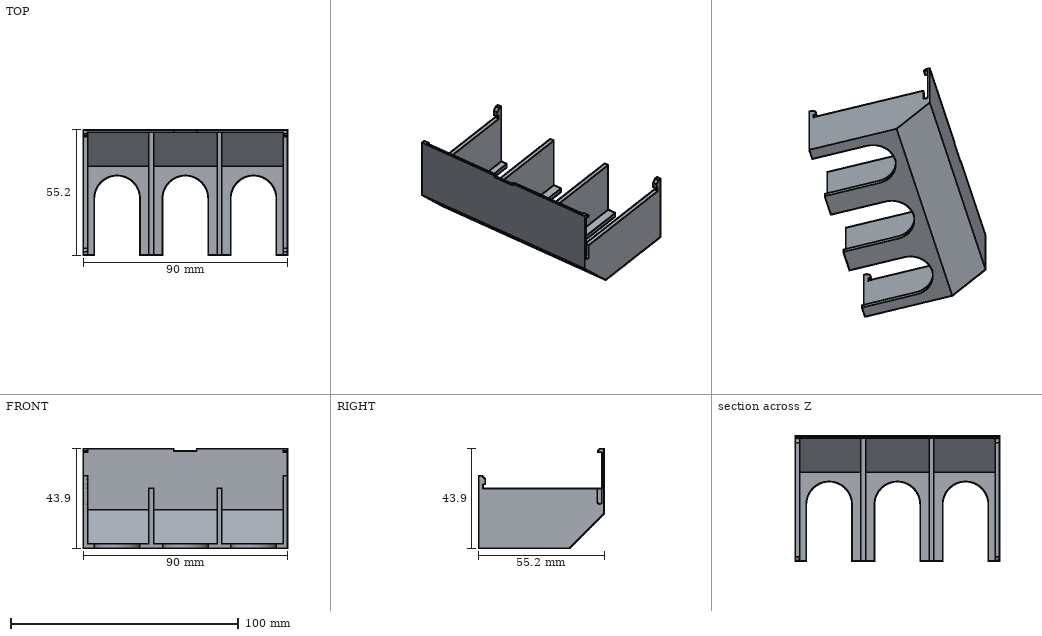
import cadquery as cq
import math

width = 90.0
depth = 55.2
height = 43.9

compartment_count = 3
pitch = width / compartment_count
panel_thickness = 2.0
back_thickness = 1.0
panel_height = 26.4

slope_size = 15.2
inner_slope_sum = slope_size + panel_thickness * math.sqrt(2)

opening_width = 20.0
opening_length = 35.0

post_height = 32.0
post_thickness = 2.0
latch_reach = 3.0
latch_bottom = 28.2
latch_chamfer = 1.5

hook_reach = 2.7
hook_height = 1.7
hook_chamfer = 1.0

relief_width = 2.0
relief_bottom = 19.5

notch_width = 10.0
notch_depth = 1.0

back_inner_y = depth - back_thickness
side_panel_starts = (-width / 2, width / 2 - panel_thickness)


def extrude_along_x(points, x_start, length):
    """Extrude a closed (Y, Z) outline in +X from x_start."""
    outline = cq.Workplane("YZ", origin=(x_start, 0, 0)).polyline(points).close()
    return outline.extrude(length)


def make_shell():
    """Floor, slope and back wall in one folded sheet."""
    points = [
        (0, 0),
        (depth - slope_size, 0),
        (depth, slope_size),
        (depth, height),
        (back_inner_y, height),
        (back_inner_y, inner_slope_sum - back_thickness),
        (depth - inner_slope_sum + panel_thickness, panel_thickness),
        (0, panel_thickness),
    ]
    return extrude_along_x(points, -width / 2, width)


def make_panel(x_start):
    """Upright panel bounding a compartment, cut off along the slope."""
    points = [
        (0, 0),
        (depth - slope_size, 0),
        (depth, slope_size),
        (depth, panel_height),
        (0, panel_height),
    ]
    return extrude_along_x(points, x_start, panel_thickness)


def make_latch_post(x_start):
    """Post with a chamfered latch facing the back wall."""
    points = [
        (0, 0),
        (post_thickness, 0),
        (post_thickness, latch_bottom),
        (latch_reach, latch_bottom),
        (latch_reach, post_height - latch_chamfer),
        (latch_reach - latch_chamfer, post_height),
        (0, post_height),
    ]
    return extrude_along_x(points, x_start, panel_thickness)


def make_hook(x_start):
    """Chamfered hook at a top corner of the back wall."""
    tip_y = depth - hook_reach
    points = [
        (depth, height),
        (tip_y + hook_chamfer, height),
        (tip_y, height - hook_chamfer),
        (tip_y, height - hook_height),
        (depth, height - hook_height),
    ]
    return extrude_along_x(points, x_start, panel_thickness)


def make_relief(x_start):
    """Cutter for the slot behind a side panel, with a semicircular bottom."""
    radius = relief_width / 2
    relief_start_y = back_inner_y - relief_width
    straight_bottom = relief_bottom + radius
    return (
        cq.Workplane("YZ", origin=(x_start, 0, 0))
        .moveTo(relief_start_y, panel_height)
        .lineTo(relief_start_y, straight_bottom)
        .threePointArc((relief_start_y + radius, relief_bottom), (back_inner_y, straight_bottom))
        .lineTo(back_inner_y, panel_height)
        .close()
        .extrude(panel_thickness)
    )


def make_opening(x_center):
    """Cutter for one floor opening with a semicircular inner end."""
    radius = opening_width / 2
    straight_end = opening_length - radius
    return (
        cq.Workplane("XY")
        .moveTo(x_center - radius, 0)
        .lineTo(x_center - radius, straight_end)
        .threePointArc((x_center, opening_length), (x_center + radius, straight_end))
        .lineTo(x_center + radius, 0)
        .close()
        .extrude(panel_thickness)
    )


def make_notch():
    """Cutter for the notch in the middle of the back wall's top edge."""
    start = (-notch_width / 2, back_inner_y, height - notch_depth)
    cutter = cq.Workplane("XY").box(notch_width, back_thickness, notch_depth, centered=False)
    return cutter.translate(start)


result = make_shell()

for index in range(1, compartment_count):
    divider_center = -width / 2 + index * pitch
    result = result.union(make_panel(divider_center - panel_thickness / 2))

for panel_start in side_panel_starts:
    result = result.union(make_panel(panel_start))
    result = result.union(make_latch_post(panel_start))
    result = result.union(make_hook(panel_start))
    result = result.cut(make_relief(panel_start))

for index in range(compartment_count):
    opening_center = -width / 2 + (index + 0.5) * pitch
    result = result.cut(make_opening(opening_center))

result = result.cut(make_notch())